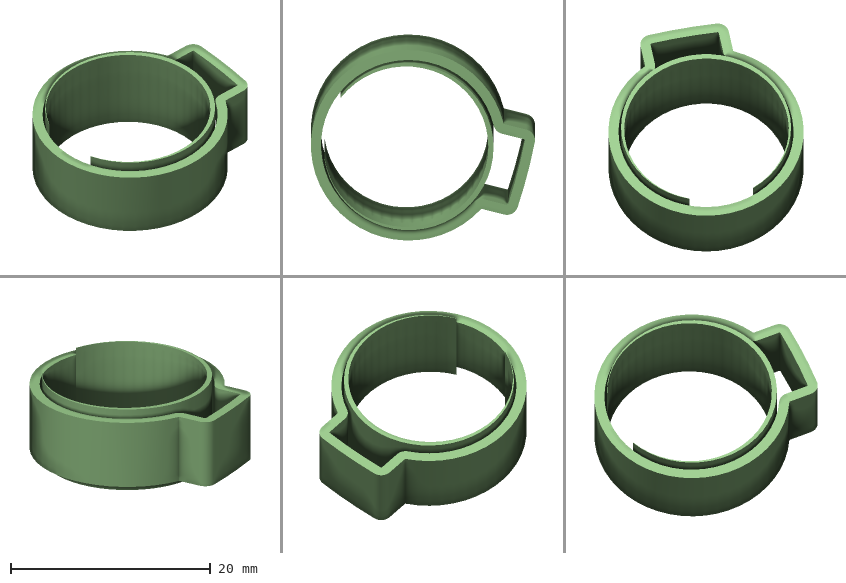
import cadquery as cq
import math


overall_length = 22.0
strap_outer_diameter = 19.5
strap_outer_radius = strap_outer_diameter / 2
strap_thickness = 1.01
strap_width = 7.0

ear_half_width = 4.49
ear_top = overall_length - strap_outer_radius
roof_radius = 54.98
tight_bend_radius = 0.1
wide_bend_radius = tight_bend_radius + strap_thickness

liner_width = 8.8
liner_outer_radius = 8.49
liner_max_thickness = 0.53
liner_min_thickness = 0.01
liner_gap_angle = 45.0


def strap_blank(radius, half_width, roof_top, shoulder_bend, neck_bend):
    """Solid disc with an ear: the shape enclosed by one face of the strap."""
    neck_y = math.sqrt(radius**2 - half_width**2)
    shoulder_y = roof_top - roof_radius + math.sqrt(roof_radius**2 - half_width**2)
    return (
        cq.Workplane("XY")
        .workplane(offset=-strap_width / 2)
        .moveTo(-half_width, neck_y)
        .lineTo(-half_width, shoulder_y)
        .threePointArc((0, roof_top), (half_width, shoulder_y))
        .lineTo(half_width, neck_y)
        .threePointArc((0, -radius), (-half_width, neck_y))
        .close()
        .extrude(strap_width)
        .edges("|Z")
        .edges(">Y")
        .fillet(shoulder_bend)
        .edges("|Z")
        .edges("<Y")
        .fillet(neck_bend)
    )


def make_strap():
    """Strap of even thickness: the outer blank less the inner blank."""
    outside = strap_blank(
        strap_outer_radius, ear_half_width, ear_top, wide_bend_radius, tight_bend_radius
    )
    inside = strap_blank(
        strap_outer_radius - strap_thickness,
        ear_half_width - strap_thickness,
        ear_top - strap_thickness,
        tight_bend_radius,
        wide_bend_radius,
    )
    return outside.cut(inside)


def make_liner():
    """Split ring whose bore is shifted away from the ear, open on the -Y side."""
    bore_radius = liner_outer_radius - (liner_max_thickness + liner_min_thickness) / 2
    bore_shift = (liner_max_thickness - liner_min_thickness) / 2

    base = cq.Workplane("XY").workplane(offset=-liner_width / 2)
    ring = base.circle(liner_outer_radius).extrude(liner_width)
    bore = base.center(0, -bore_shift).circle(bore_radius).extrude(liner_width)

    wedge_length = 2 * liner_outer_radius
    wedge_half_width = wedge_length * math.tan(math.radians(liner_gap_angle / 2))
    gap = (
        base.moveTo(0, 0)
        .lineTo(wedge_half_width, -wedge_length)
        .lineTo(-wedge_half_width, -wedge_length)
        .close()
        .extrude(liner_width)
    )
    return ring.cut(bore).cut(gap)


strap = make_strap()
liner = make_liner()

result = cq.Compound.makeCompound([strap.val(), liner.val()])